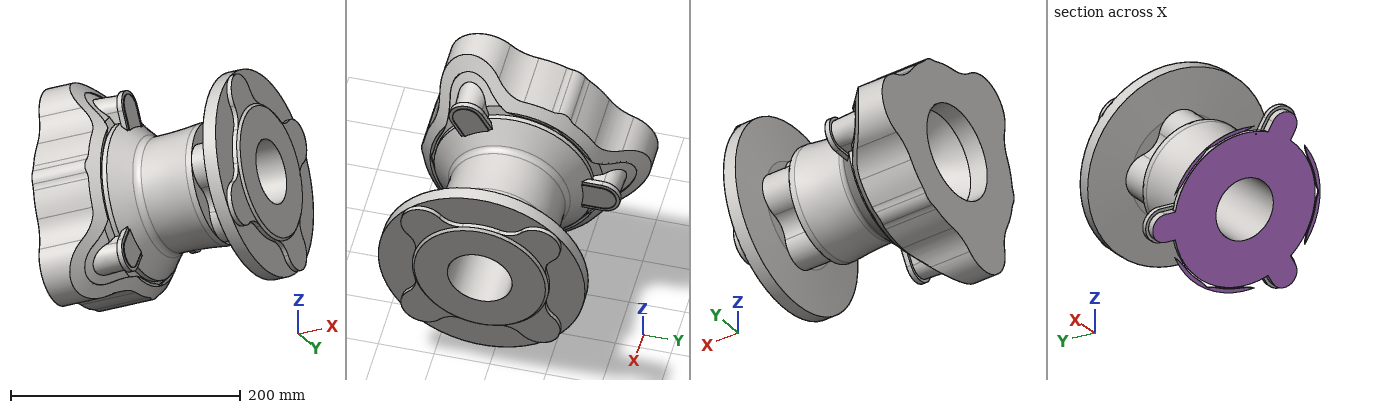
import cadquery as cq
import math


POCKET_BEVEL_START = 57.6
POCKET_BEVEL_END = 61.0
HEAD_RIM_END = 61.9
GROOVE_END = 65.6
COLLAR_START = 67.7
COLLAR_END = 72.5
PIN_END = 73.3
NECK_END = 134.3
NECK_BAND_END = 140.1
FLANGE_HUB_FACE = 168.0
FLANGE_FRONT = 170.6
FLANGE_BACK = 183.2
EAR_PLATE_BACK = 187.5
LENGTH = 189.75

HEAD_SECTORS = 3
HEAD_CORE_R = 84.0
HEAD_LOBE_R = 32.4
HEAD_REACH = 112.95
HEAD_LOBE_DIST = HEAD_REACH - HEAD_LOBE_R
HEAD_LOBE_BLEND_R = 44.0
NUB_R = 16.0
NUB_REACH = 86.0
NUB_DIST = NUB_REACH - NUB_R
NUB_BLEND_R = 22.0

CONE_ANGLE = math.pi / 4
RIM_CONE_SUM = 137.9
BODY_CONE_SUM = 137.0
POCKET_CONE_SUM = 136.2
GROOVE_R = BODY_CONE_SUM - GROOVE_END

PIN_BASE_R = 14.6
PIN_DRAFT = 3.0
PIN_BASE = 38.0
COLLAR_R = 16.0
PIN_ROOT_DIST = 48.0
RIM_WIDTH = 10.7

WAIST_R = 51.8
WAIST_FILLET_R = 9.5
NECK_R = 109.74 / 2
ENTRY_BORE_R = 91.0 / 2
ENTRY_BORE_DEPTH = 17.7
BORE_R = 58.0 / 2
BORE_CONE_END = 44.0

COLUMN_SECTORS = 4
COLUMN_LOBE_R = 21.4
COLUMN_LOBE_DIST = NECK_R - COLUMN_LOBE_R
COLUMN_HOLLOW_DIST = 59.0

FLANGE_R = 185.0 / 2
FLANGE_HUB_R = 50.0
EAR_SECTORS = 4
EAR_R = 20.0
EAR_DIST = FLANGE_R - EAR_R
EAR_BLEND_R = 20.0
SPIGOT_R = 61.0
SPIGOT_CHAMFER = LENGTH - EAR_PLATE_BACK


def polar(radius, angle):
    return radius * math.cos(angle), radius * math.sin(angle)


def along(start, end, distance):
    """Point at a distance from start on the way to end."""
    share = distance / math.dist(start, end)
    return start[0] + share * (end[0] - start[0]), start[1] + share * (end[1] - start[1])


def blend_points(core_r, lobe_dist, lobe_r, blend_r, lobe_angle, side):
    """Lobe end, middle and core end of the concave arc joining a lobe to the core circle."""
    to_blend = core_r + blend_r
    lobe_to_blend = lobe_r + blend_r
    cosine = (to_blend**2 + lobe_dist**2 - lobe_to_blend**2) / (2 * to_blend * lobe_dist)
    blend_angle = lobe_angle + side * math.acos(cosine)
    lobe_center = polar(lobe_dist, lobe_angle)
    blend_center = polar(to_blend, blend_angle)
    on_lobe = along(lobe_center, blend_center, lobe_r)
    on_core = polar(core_r, blend_angle)
    chord_middle = ((on_lobe[0] + on_core[0]) / 2, (on_lobe[1] + on_core[1]) / 2)
    middle = along(blend_center, chord_middle, blend_r)
    return on_lobe, middle, on_core


def lobed_outline(plane, core_r, lobes):
    """Closed outline of a core circle carrying blended lobes.

    Each lobe is (angle, centre distance, radius, blend radius), ordered by angle.
    """
    outline = None
    for index, (angle, dist, radius, blend_r) in enumerate(lobes):
        enter = blend_points(core_r, dist, radius, blend_r, angle, -1)
        leave = blend_points(core_r, dist, radius, blend_r, angle, 1)
        following = lobes[(index + 1) % len(lobes)]
        next_angle, next_dist, next_radius, next_blend_r = following
        next_enter = blend_points(core_r, next_dist, next_radius, next_blend_r, next_angle, -1)
        if outline is None:
            outline = plane.moveTo(*enter[2])
        outline = outline.threePointArc(enter[1], enter[0])
        outline = outline.threePointArc(polar(dist + radius, angle), leave[0])
        outline = outline.threePointArc(leave[1], leave[2])
        core_start = math.atan2(leave[2][1], leave[2][0])
        core_end = math.atan2(next_enter[2][1], next_enter[2][0])
        core_sweep = (core_end - core_start) % (2 * math.pi)
        outline = outline.threePointArc(polar(core_r, core_start + core_sweep / 2), next_enter[2])
    return outline.close()


def section_plane(x):
    return cq.Workplane("YZ", origin=(x, 0, 0))


def revolve_about_x(profile):
    return profile.close().revolve(360, (0, 0, 0), (1, 0, 0))


def repeat_on_lobes(solid):
    copies = solid
    for index in range(1, HEAD_SECTORS):
        copies = copies.union(solid.rotate((0, 0, 0), (1, 0, 0), index * 360 / HEAD_SECTORS))
    return copies


def head_outline(inset):
    """Head outline, moved inwards by an inset."""
    lobes = []
    for index in range(HEAD_SECTORS):
        lobe_angle = index * 2 * math.pi / HEAD_SECTORS
        nub_angle = lobe_angle + math.pi / HEAD_SECTORS
        lobes.append((lobe_angle, HEAD_LOBE_DIST, HEAD_LOBE_R - inset, HEAD_LOBE_BLEND_R + inset))
        lobes.append((nub_angle, NUB_DIST, NUB_R - inset, NUB_BLEND_R + inset))
    return lobed_outline(section_plane(0), HEAD_CORE_R - inset, lobes)


def make_pocket_floor():
    """Solid left standing inside the rim: a cone, bevelled down to the groove band."""
    return revolve_about_x(
        cq.Workplane("XY")
        .lineTo(0, POCKET_CONE_SUM)
        .lineTo(POCKET_BEVEL_START, POCKET_CONE_SUM - POCKET_BEVEL_START)
        .lineTo(POCKET_BEVEL_END, GROOVE_R)
        .lineTo(HEAD_RIM_END, GROOVE_R)
        .lineTo(HEAD_RIM_END, 0)
    )


def make_head():
    rim_cone = revolve_about_x(
        cq.Workplane("XY")
        .lineTo(0, RIM_CONE_SUM)
        .lineTo(HEAD_RIM_END, RIM_CONE_SUM - HEAD_RIM_END)
        .lineTo(HEAD_RIM_END, 0)
    )
    head = head_outline(0).extrude(HEAD_RIM_END).intersect(rim_cone)
    pockets = head_outline(RIM_WIDTH).extrude(HEAD_RIM_END).cut(make_pocket_floor())
    return head.cut(pockets)


def make_neck():
    """Groove band, cone, filleted waist, flaring neck and its end band."""
    half_bend = CONE_ANGLE / 2
    fillet_setback = WAIST_FILLET_R * math.tan(half_bend)
    waist_corner = BODY_CONE_SUM - WAIST_R
    cone_end = waist_corner - fillet_setback * math.cos(CONE_ANGLE)
    waist_start = waist_corner + fillet_setback
    fillet_center_r = WAIST_R + WAIST_FILLET_R
    fillet_middle = (
        waist_start - WAIST_FILLET_R * math.sin(half_bend),
        fillet_center_r - WAIST_FILLET_R * math.cos(half_bend),
    )
    return revolve_about_x(
        cq.Workplane("XY")
        .moveTo(HEAD_RIM_END, 0)
        .lineTo(HEAD_RIM_END, GROOVE_R)
        .lineTo(GROOVE_END, GROOVE_R)
        .lineTo(cone_end, BODY_CONE_SUM - cone_end)
        .threePointArc(fillet_middle, (waist_start, WAIST_R))
        .tangentArcPoint((NECK_END, NECK_R), relative=False)
        .lineTo(NECK_BAND_END, NECK_R)
        .lineTo(NECK_BAND_END, 0)
    )


def pin_outline(x, radius):
    """Tongue with its round end centred on a lobe and its root inside the body."""
    return (
        section_plane(x)
        .moveTo(PIN_ROOT_DIST, -radius)
        .lineTo(HEAD_LOBE_DIST, -radius)
        .threePointArc((HEAD_LOBE_DIST + radius, 0), (HEAD_LOBE_DIST, radius))
        .lineTo(PIN_ROOT_DIST, radius)
        .close()
    )


def make_pins():
    pin = pin_outline(PIN_BASE, PIN_BASE_R).extrude(PIN_END - PIN_BASE, taper=PIN_DRAFT)
    collar = pin_outline(COLLAR_START, COLLAR_R).extrude(COLLAR_END - COLLAR_START)
    return repeat_on_lobes(pin.union(collar))


def make_column():
    """Column with four round lobes on +-Y and +-Z and hollows on the diagonals."""
    lobe_center = (COLUMN_LOBE_DIST, 0)
    hollow_center = polar(COLUMN_HOLLOW_DIST, math.pi / COLUMN_SECTORS)
    contact = along(lobe_center, hollow_center, COLUMN_LOBE_R)
    contact_r = math.hypot(*contact)
    contact_angle = math.atan2(contact[1], contact[0])
    hollow_r = math.dist(contact, hollow_center)
    outline = section_plane(NECK_BAND_END).moveTo(*polar(contact_r, -contact_angle))
    for index in range(COLUMN_SECTORS):
        axis = index * 2 * math.pi / COLUMN_SECTORS
        diagonal = axis + math.pi / COLUMN_SECTORS
        outline = outline.threePointArc(polar(NECK_R, axis), polar(contact_r, axis + contact_angle))
        outline = outline.threePointArc(
            polar(COLUMN_HOLLOW_DIST - hollow_r, diagonal),
            polar(contact_r, 2 * diagonal - axis - contact_angle),
        )
    return outline.close().extrude(FLANGE_FRONT - NECK_BAND_END)


def make_flange():
    """Disc with a slightly conical front, carrying the spigot on its back."""
    return revolve_about_x(
        cq.Workplane("XY")
        .moveTo(FLANGE_HUB_FACE, 0)
        .lineTo(FLANGE_HUB_FACE, FLANGE_HUB_R)
        .lineTo(FLANGE_FRONT, FLANGE_R)
        .lineTo(FLANGE_BACK, FLANGE_R)
        .lineTo(FLANGE_BACK, SPIGOT_R)
        .lineTo(EAR_PLATE_BACK, SPIGOT_R)
        .lineTo(LENGTH, SPIGOT_R - SPIGOT_CHAMFER)
        .lineTo(LENGTH, 0)
    )


def make_ear_plate():
    ears = []
    for index in range(EAR_SECTORS):
        ear_angle = (index + 0.5) * 2 * math.pi / EAR_SECTORS
        ears.append((ear_angle, EAR_DIST, EAR_R, EAR_BLEND_R))
    outline = lobed_outline(section_plane(FLANGE_BACK), SPIGOT_R, ears)
    return outline.extrude(EAR_PLATE_BACK - FLANGE_BACK)


def make_bore():
    return revolve_about_x(
        cq.Workplane("XY")
        .moveTo(0, 0)
        .lineTo(0, ENTRY_BORE_R)
        .lineTo(ENTRY_BORE_DEPTH, ENTRY_BORE_R)
        .lineTo(BORE_CONE_END, BORE_R)
        .lineTo(LENGTH, BORE_R)
        .lineTo(LENGTH, 0)
    )


body = make_head().union(make_neck()).union(make_pins())
body = body.union(make_column()).union(make_flange()).union(make_ear_plate())
result = body.cut(make_bore())